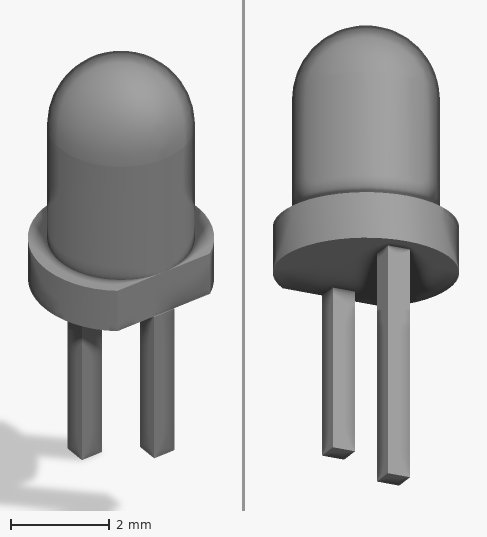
import cadquery as cq

total_height = 10.3

lens_radius = 1.5

flange_radius = 1.9
flange_height = 1.0
flat_x = lens_radius

lead_pitch = 2.54
lead_width = 0.5
long_lead_length = 5.0
short_lead_length = 3.5

lens_top = total_height - long_lead_length
dome_base = lens_top - lens_radius


def make_lens():
    """Revolve the half profile of the cylinder and its dome around Z."""
    profile = (
        cq.Workplane("XZ")
        .lineTo(lens_radius, 0)
        .lineTo(lens_radius, dome_base)
        .radiusArc((0, lens_top), -lens_radius)
        .close()
    )
    return profile.revolve(360, (0, 0), (0, 1))


def make_flange():
    """Disc cut off by the polarity flat on its +X side."""
    disc = cq.Workplane("XY").circle(flange_radius).extrude(flange_height)
    keep_length = flange_radius + flat_x
    keep_box = (
        cq.Workplane("XY")
        .center(flat_x - keep_length / 2, 0)
        .rect(keep_length, 2 * flange_radius)
        .extrude(flange_height)
    )
    return disc.intersect(keep_box)


def make_lead(center_x, length):
    """Square lead running down from the underside of the flange."""
    return cq.Workplane("XY").center(center_x, 0).rect(lead_width, lead_width).extrude(-length)


result = (
    make_flange()
    .union(make_lens())
    .union(make_lead(-lead_pitch / 2, long_lead_length))
    .union(make_lead(lead_pitch / 2, short_lead_length))
)